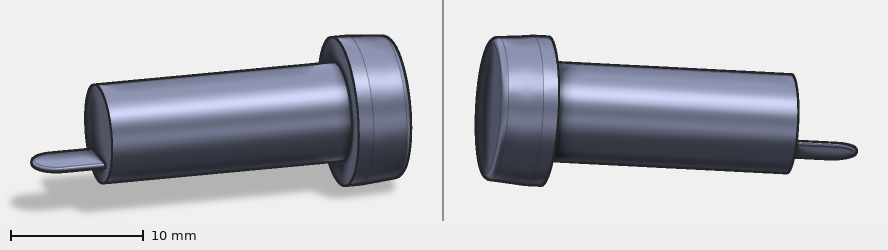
import cadquery as cq

total_length = 28.3
tab_length = 5.2
head_length = 4.3
shank_length = total_length - tab_length - head_length

shank_diameter = 7.5
flange_diameter = 11.3
flange_length = 1.2
cap_front_diameter = 10.75
cap_edge_radius = 0.5

tab_width = 3.8
tab_thickness = 0.4
tab_center_z = -1.95
tab_edge_radius = 0.195


def cylinder_along_y(diameter, start_y, length):
    """Solid cylinder on the Y axis, growing toward +Y from start_y."""
    plane = cq.Workplane("XZ", origin=(0, start_y, 0))
    return plane.circle(diameter / 2).extrude(-length)


def make_head(start_y):
    """Plain flange followed by a tapered cap with a rounded front edge."""
    flange_end_y = start_y + flange_length
    front_y = start_y + head_length
    profile = (
        cq.Workplane("XY")
        .moveTo(0, start_y)
        .lineTo(flange_diameter / 2, start_y)
        .lineTo(flange_diameter / 2, flange_end_y)
        .lineTo(cap_front_diameter / 2, front_y)
        .lineTo(0, front_y)
        .close()
    )
    head = profile.revolve(360, (0, 0, 0), (0, 1, 0))
    return head.faces(">Y").edges().fillet(cap_edge_radius)


def make_tab(end_y):
    """Flat tab with rounded edges, from end_y to a semicircular tip at -Y."""
    tip_radius = tab_width / 2
    tip_y = end_y - tab_length
    tip_center_y = tip_y + tip_radius
    tab = (
        cq.Workplane("XY", origin=(0, 0, tab_center_z - tab_thickness / 2))
        .moveTo(-tip_radius, end_y)
        .lineTo(-tip_radius, tip_center_y)
        .threePointArc((0, tip_y), (tip_radius, tip_center_y))
        .lineTo(tip_radius, end_y)
        .close()
        .extrude(tab_thickness)
    )
    outline_edges = tab.faces("|Z").edges("not >Y")
    return outline_edges.fillet(tab_edge_radius)


shank_start_y = -total_length / 2 + tab_length
head_start_y = shank_start_y + shank_length

shank = cylinder_along_y(shank_diameter, shank_start_y, shank_length)
result = shank.union(make_head(head_start_y)).union(make_tab(shank_start_y))